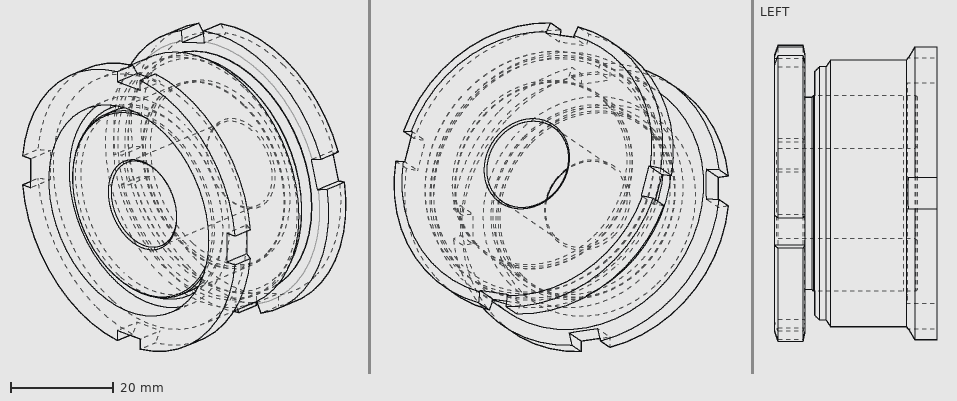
import cadquery as cq


NOTCH_COUNT = 4
NOTCH_WIDTH = 6.15
NOTCH_FLOOR_RADIUS = 26.5
SCREW_NOTCH_ANGLE = 15.6

THREAD_RADIUS = 19.15

FLANGE_RADIUS = 28.8
FLANGE_LENGTH = 4.35
FLANGE_CONE_END = 6.0
BARREL_RADIUS = 26.1
BARREL_END = 20.8
STEP_RADIUS = 24.8
STEP_START = 21.7
HOUSING_LENGTH = 23.95
STEP_CHAMFER = 1.0
RECESS_RADIUS = 21.6
RECESS_DEPTH = 5.8
THREAD_LEAD_IN = 0.75

SCREW_FRONT = 3.9
SCREW_BACK = 31.85
SCREW_CHAMFER = 0.3
NECK_RADIUS = THREAD_RADIUS - SCREW_CHAMFER
THREAD_END = HOUSING_LENGTH + 0.25
NECK_START = THREAD_END + SCREW_CHAMFER
RING_RADIUS = 29.0
RING_FRONT = 25.8
RING_RECESS_RADIUS = 24.75
RING_RECESS_DEPTH = 0.1
RING_CHAMFER_RADIUS = 26.95
RING_FRONT_CHAMFER = 0.4
RING_BACK_CHAMFER = 0.7
BORE_RADIUS = 8.8
BORE_CHAMFER = 0.4


def revolve_about_y(points):
    """Solid of revolution from (radius, Y) points."""
    return cq.Workplane("XY").polyline(points).close().revolve(360, (0, 0, 0), (0, 1, 0))


def notch_cutters(y_start, y_end, turn):
    """Boxes that cut the flat-floored spanner notches between two Y positions."""
    height = RING_RADIUS
    length = y_end - y_start
    cutters = cq.Workplane("XY")
    for index in range(NOTCH_COUNT):
        box = cq.Workplane("XY").box(NOTCH_WIDTH, length, height).translate(
            (0, (y_start + y_end) / 2, NOTCH_FLOOR_RADIUS + height / 2))
        angle = turn + index * 360 / NOTCH_COUNT
        cutters = cutters.add(box.rotate((0, 0, 0), (0, 1, 0), -angle))
    return cutters.combine()


def make_housing():
    profile = [
        (RECESS_RADIUS, 0),
        (FLANGE_RADIUS, 0),
        (FLANGE_RADIUS, FLANGE_LENGTH),
        (BARREL_RADIUS, FLANGE_CONE_END),
        (BARREL_RADIUS, BARREL_END),
        (STEP_RADIUS, STEP_START),
        (STEP_RADIUS, HOUSING_LENGTH - STEP_CHAMFER),
        (STEP_RADIUS - STEP_CHAMFER, HOUSING_LENGTH),
        (THREAD_RADIUS, HOUSING_LENGTH),
        (THREAD_RADIUS, RECESS_DEPTH + THREAD_LEAD_IN),
        (THREAD_RADIUS + THREAD_LEAD_IN, RECESS_DEPTH),
        (RECESS_RADIUS, RECESS_DEPTH),
    ]
    return revolve_about_y(profile).cut(notch_cutters(0, FLANGE_CONE_END, 0))


def make_screw():
    profile = [
        (BORE_RADIUS + BORE_CHAMFER, SCREW_FRONT),
        (NECK_RADIUS, SCREW_FRONT),
        (THREAD_RADIUS, SCREW_FRONT + SCREW_CHAMFER),
        (THREAD_RADIUS, THREAD_END),
        (NECK_RADIUS, NECK_START),
        (NECK_RADIUS, RING_FRONT + RING_RECESS_DEPTH),
        (RING_RECESS_RADIUS, RING_FRONT + RING_RECESS_DEPTH),
        (RING_RECESS_RADIUS, RING_FRONT),
        (RING_CHAMFER_RADIUS, RING_FRONT),
        (RING_RADIUS, RING_FRONT + RING_FRONT_CHAMFER),
        (RING_RADIUS, SCREW_BACK - RING_BACK_CHAMFER),
        (RING_CHAMFER_RADIUS, SCREW_BACK),
        (BORE_RADIUS + BORE_CHAMFER, SCREW_BACK),
        (BORE_RADIUS, SCREW_BACK - BORE_CHAMFER),
        (BORE_RADIUS, SCREW_FRONT + BORE_CHAMFER),
    ]
    return revolve_about_y(profile).cut(notch_cutters(RING_FRONT, SCREW_BACK, SCREW_NOTCH_ANGLE))


housing = make_housing()
screw = make_screw()

result = cq.Compound.makeCompound([housing.val(), screw.val()])